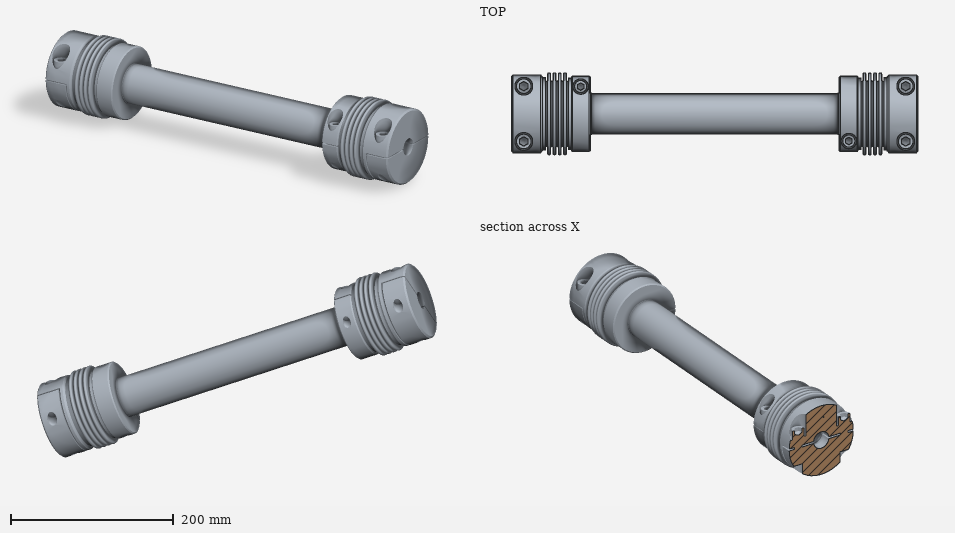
import cadquery as cq
import math

overall_length = 500.0
end_x = overall_length / 2
tube_diameter = 50.0
bore_diameter = 22.0

outer_hub_length = 38.0
bellows_start = 42.0
bellows_end = 70.0
inner_hub_start = 73.5
inner_hub_end = 97.0
collar_end = 98.5

outer_hub_radius = 48.0
inner_hub_radius = 46.5
outer_seat_radius = 44.5
inner_seat_radius = 44.0
bellows_core_radius = 40.0
collar_radius = 25.5
outer_edge_chamfer = 2.0
outer_shoulder_chamfer = 2.5
inner_hub_chamfer = 1.5

disc_count = 4
disc_radius = 50.5
disc_width = 3.5
disc_pitch = 6.5
bellows_center = (bellows_start + bellows_end) / 2

clamp_slot_width = 2.0
relief_slot_width = 2.0
relief_slot_start = 30.0

outer_screw_distance = 15.0
outer_screw_offset = 34.0
inner_screw_distance = 85.0
inner_screw_offset = 33.5
shank_end_z = -25.0
OUTER_SCREW = dict(pocket=22.0, head=18.0, head_height=12.0, head_top=25.0, socket=10.0, tapped=12.0)
INNER_SCREW = dict(pocket=19.0, head=15.0, head_height=10.0, head_top=23.5, socket=8.0, tapped=10.0)
socket_depth = 5.0
socket_tip_angle = math.radians(59)


def rod_x(x_start, x_end, radius):
    """Cylinder on the X axis between two X positions."""
    return cq.Workplane("YZ", origin=(x_start, 0, 0)).circle(radius).extrude(x_end - x_start)


def rod_z(x, y, z_bottom, z_top, diameter):
    """Upright cylinder between two heights."""
    return cq.Workplane("XY", origin=(x, y, z_bottom)).circle(diameter / 2).extrude(z_top - z_bottom)


def box_between(x_range, y_range, z_range):
    """Box spanning the given ranges."""
    sizes = [high - low for low, high in (x_range, y_range, z_range)]
    corner = (x_range[0], y_range[0], z_range[0])
    return cq.Workplane("XY").box(*sizes, centered=False).translate(corner)


def bellows_disc(center_x):
    """Thin disc with a fully rounded rim and rounded roots beside it."""
    half_width = disc_width / 2
    root_radius = (disc_pitch - disc_width) / 2
    root_drop = root_radius * (1 - math.sqrt(0.5))
    root_base = bellows_core_radius
    rim_base = disc_radius - half_width
    half_pitch = disc_pitch / 2
    profile = (
        cq.Workplane("XY")
        .moveTo(-half_pitch, 0)
        .lineTo(-half_pitch, root_base)
        .threePointArc((-half_width - root_drop, root_base + root_drop), (-half_width, root_base + root_radius))
        .lineTo(-half_width, rim_base)
        .threePointArc((0, disc_radius), (half_width, rim_base))
        .lineTo(half_width, root_base + root_radius)
        .threePointArc((half_width + root_drop, root_base + root_drop), (half_pitch, root_base))
        .lineTo(half_pitch, 0)
        .close()
    )
    return profile.revolve(360, (0, 0, 0), (1, 0, 0)).translate((center_x, 0, 0))


def coupling_blank():
    """Both hubs, their seats and the bellows, turned about the X axis at the -X end."""
    outer_hub = rod_x(-end_x, -end_x + outer_hub_length, outer_hub_radius)
    outer_hub = outer_hub.faces("<X").chamfer(outer_edge_chamfer)
    outer_hub = outer_hub.faces(">X").chamfer(outer_shoulder_chamfer)
    inner_hub = rod_x(-end_x + inner_hub_start, -end_x + inner_hub_end, inner_hub_radius)
    inner_hub = inner_hub.faces("<X or >X").chamfer(inner_hub_chamfer)
    inner_hub = inner_hub.union(rod_x(-end_x + inner_hub_end, -end_x + collar_end, collar_radius))

    blank = outer_hub.union(inner_hub)
    blank = blank.union(rod_x(-end_x + outer_hub_length, -end_x + bellows_start, outer_seat_radius))
    blank = blank.union(rod_x(-end_x + bellows_start, -end_x + bellows_end, bellows_core_radius))
    blank = blank.union(rod_x(-end_x + bellows_end, -end_x + inner_hub_start, inner_seat_radius))
    for index in range(disc_count):
        disc_x = -end_x + bellows_center + (index - (disc_count - 1) / 2) * disc_pitch
        blank = blank.union(bellows_disc(disc_x))
    return blank


def cut_clamp_slots(body):
    """Split the outer hub into a body and a lower cap, and slit the inner hub on its +Y side."""
    slot_z = (-clamp_slot_width / 2, clamp_slot_width / 2)
    relief_end = relief_slot_start + relief_slot_width
    full_width = (-disc_radius, disc_radius)
    body = body.cut(box_between((-end_x, -end_x + relief_end), full_width, slot_z))
    relief_x = (-end_x + relief_slot_start, -end_x + relief_end)
    body = body.cut(box_between(relief_x, full_width, (-disc_radius, 0)))
    inner_x = (-end_x + inner_hub_start, -end_x + inner_hub_end)
    return body.cut(box_between(inner_x, (collar_radius, disc_radius), slot_z))


def add_screw(body, x, y, screw):
    """Cap screw in a head pocket above, with the end of its tapped hole open below."""
    floor_z = screw["head_top"] - screw["head_height"]
    body = body.cut(rod_z(x, y, floor_z, disc_radius, screw["pocket"]))
    body = body.cut(rod_z(x, y, -disc_radius, shank_end_z, screw["tapped"]))
    body = body.union(rod_z(x, y, shank_end_z, floor_z, screw["tapped"]))
    body = body.union(rod_z(x, y, floor_z, screw["head_top"], screw["head"]))
    return body.cut(socket(screw).translate((x, y, screw["head_top"])))


def socket(screw):
    """Hexagonal key socket with a drill-point bottom, opening at Z = 0."""
    corner_radius = screw["socket"] / 2 / math.cos(math.pi / 6)
    tip_depth = corner_radius / math.tan(socket_tip_angle)
    half_drill = [(0, 0), (corner_radius, 0), (corner_radius, -socket_depth), (0, -socket_depth - tip_depth)]
    drill = cq.Workplane("XZ").polyline(half_drill).close().revolve(360, (0, 0, 0), (0, 1, 0))
    hexagon = cq.Workplane("XY").polygon(6, 2 * corner_radius).extrude(-socket_depth - tip_depth)
    return hexagon.rotate((0, 0, 0), (0, 0, 1), 30).intersect(drill)


def coupling():
    """Complete coupling at the -X end."""
    body = cut_clamp_slots(coupling_blank())
    body = body.cut(rod_x(-end_x, -end_x + collar_end, bore_diameter / 2))
    for side in (-1, 1):
        body = add_screw(body, -end_x + outer_screw_distance, side * outer_screw_offset, OUTER_SCREW)
    return add_screw(body, -end_x + inner_screw_distance, inner_screw_offset, INNER_SCREW)


left_coupling = coupling()
right_coupling = left_coupling.rotate((0, 0, 0), (0, 0, 1), 180)
tube_end = end_x - collar_end
tube = rod_x(-tube_end, tube_end, tube_diameter / 2).cut(rod_x(-tube_end, tube_end, bore_diameter / 2))

result = tube.union(left_coupling).union(right_coupling)